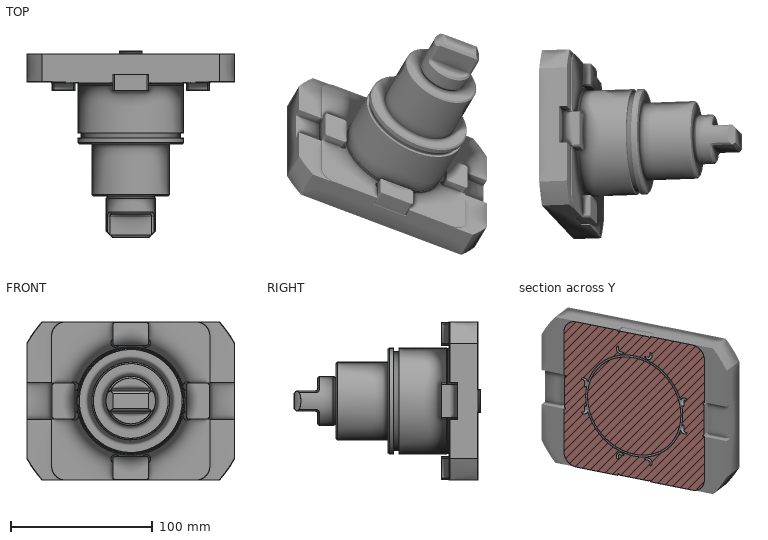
import cadquery as cq


plate_length = 147.0
plate_height = 112.0
plate_thickness = 20.5
plate_corner_radius = 84.1
land_size = plate_height
land_fillet = 10.0
land_step = 0.6
pad_diameter = 16.0
pad_height = 1.9

key_width = 25.5
key_length = 16.2
key_inner = 39.4
key_height = 5.3
key_chamfer = 1.2
slot_depth = 6.0
side_slot_width = 26.3
relief_diameter = 6.3
side_relief_reach = 40.0
side_relief_span = 20.9
end_relief_reach = 41.2
end_relief_span = 21.8
recess_diameter = 76.7
recess_depth = 0.7

body_diameter = 75.0
neck_diameter = 74.5
neck_length = 0.9
neck_undercut = 0.3
body_lead_in = 0.9
groove_diameter = 70.3
groove_start = 35.5
groove_end = 39.1
body_end = 43.2
pilot_diameter = 55.0
pilot_end = 80.0
step_chamfer = 1.0
throat_diameter = 32.6
throat_end = 82.0

drive_diameter = 35.0
shoulder_end = 92.9
tang_end = 109.7
tang_thickness = 14.3
tang_root_fillet = 1.8
tang_edge_chamfer = 1.3
tip_flat_chamfer = 1.8
tip_side_chamfer = 4.9


def cylinder_y(diameter, y_from, y_to):
    """Cylinder on the tool axis between two Y positions."""
    disc = cq.Workplane("XZ", origin=(0, y_to, 0)).circle(diameter / 2)
    return disc.extrude(y_to - y_from)


def box_y(length, height, y_from, y_to, x=0.0):
    """Box centred on x and on Z = 0, between two Y positions."""
    rect = cq.Workplane("XZ", origin=(x, y_to, 0)).rect(length, height)
    return rect.extrude(y_to - y_from)


def turned(profile):
    """Revolve (radius, distance from the land) points about the tool axis."""
    points = [(radius, -distance) for radius, distance in profile]
    return cq.Workplane("XY").polyline(points).close().revolve(360, (0, 0), (0, 1))


def make_plate():
    rim = box_y(plate_length, plate_height, land_step, plate_thickness)
    rim = rim.intersect(cylinder_y(2 * plate_corner_radius, land_step, plate_thickness))
    land = box_y(land_size, land_size, 0, land_step).edges("|Y").fillet(land_fillet)
    pad = cylinder_y(pad_diameter, plate_thickness, plate_thickness + pad_height)
    recess = cylinder_y(recess_diameter, 0, recess_depth)
    return rim.union(land).union(pad).cut(recess)


def make_slot(outer, relief_reach, relief_span):
    """Key slot on the +X side, with a round relief at each inner corner."""
    slot = box_y(outer - key_inner, key_width, 0, slot_depth, x=(outer + key_inner) / 2)
    half_span = relief_span / 2
    reliefs = (
        cq.Workplane("XZ", origin=(relief_reach, slot_depth, 0))
        .pushPoints([(0, -half_span), (0, half_span)])
        .circle(relief_diameter / 2)
        .extrude(slot_depth)
    )
    return slot.union(reliefs)


def make_side_slot():
    """Slot on the +X side, which widens outside the land."""
    slot = make_slot(plate_length / 2, side_relief_reach, side_relief_span)
    rim_width = (plate_length - land_size) / 2
    rim_slot = box_y(rim_width, side_slot_width, 0, slot_depth, x=(plate_length + land_size) / 4)
    return slot.union(rim_slot)


def make_key():
    """Drive key on the +X side, seated on the slot floor."""
    key = box_y(key_length, key_width, -key_height, slot_depth, x=key_inner + key_length / 2)
    return key.edges("|Y").chamfer(key_chamfer)


def make_shank():
    body_radius = body_diameter / 2
    neck_radius = neck_diameter / 2
    groove_radius = groove_diameter / 2
    pilot_radius = pilot_diameter / 2
    return turned([
        (0, -slot_depth),
        (neck_radius, -slot_depth),
        (neck_radius, neck_length),
        (neck_radius - neck_undercut, neck_length),
        (body_radius, neck_length + body_lead_in),
        (body_radius, groove_start),
        (groove_radius, groove_start),
        (groove_radius, groove_end),
        (body_radius, groove_end),
        (body_radius, body_end - step_chamfer),
        (body_radius - step_chamfer, body_end),
        (pilot_radius, body_end),
        (pilot_radius, pilot_end - step_chamfer),
        (pilot_radius - step_chamfer, pilot_end),
        (0, pilot_end),
    ])


def make_drive():
    """Round drive end milled down to a flat tang with bevelled tip and edges."""
    drive_radius = drive_diameter / 2
    drive = turned([
        (0, pilot_end),
        (throat_diameter / 2, pilot_end),
        (drive_radius, throat_end),
        (drive_radius, tang_end),
        (0, tang_end),
    ])
    half_tang = tang_thickness / 2
    root = half_tang + tang_root_fillet
    for side in (1, -1):
        waste = (
            cq.Workplane("YZ", origin=(-drive_diameter, 0, 0))
            .moveTo(-tang_end, side * half_tang)
            .lineTo(-shoulder_end - tang_root_fillet, side * half_tang)
            .radiusArc((-shoulder_end, side * root), -side * tang_root_fillet)
            .lineTo(-shoulder_end, side * drive_diameter)
            .lineTo(-tang_end, side * drive_diameter)
            .close()
            .extrude(2 * drive_diameter)
        )
        drive = drive.cut(waste)
    milled_edges = drive.edges("not |X").filter(
        lambda edge: -tang_end < edge.Center().y < -throat_end and abs(edge.Center().z) >= half_tang
    )
    drive = milled_edges.chamfer(tang_edge_chamfer)
    drive = drive.faces("<Y").edges("|X").chamfer(tip_flat_chamfer)
    tip_half_width = drive_radius - tip_side_chamfer
    bevelled_tip = (
        cq.Workplane("XY", origin=(0, 0, -drive_radius))
        .moveTo(-tip_half_width, -tang_end)
        .lineTo(tip_half_width, -tang_end)
        .lineTo(drive_radius, -tang_end + tip_side_chamfer)
        .lineTo(drive_radius, -pilot_end)
        .lineTo(-drive_radius, -pilot_end)
        .lineTo(-drive_radius, -tang_end + tip_side_chamfer)
        .close()
        .extrude(drive_diameter)
    )
    return drive.intersect(bevelled_tip)


plate = make_plate()
side_slot = make_side_slot()
end_slot = make_slot(plate_height / 2, end_relief_reach, end_relief_span)
key = make_key()
axis_start = (0, 0, 0)
axis_end = (0, 1, 0)
for slot, angle in ((side_slot, 0), (end_slot, 90), (side_slot, 180), (end_slot, 270)):
    plate = plate.cut(slot.rotate(axis_start, axis_end, angle))
    plate = plate.union(key.rotate(axis_start, axis_end, angle))

result = plate.union(make_shank()).union(make_drive())